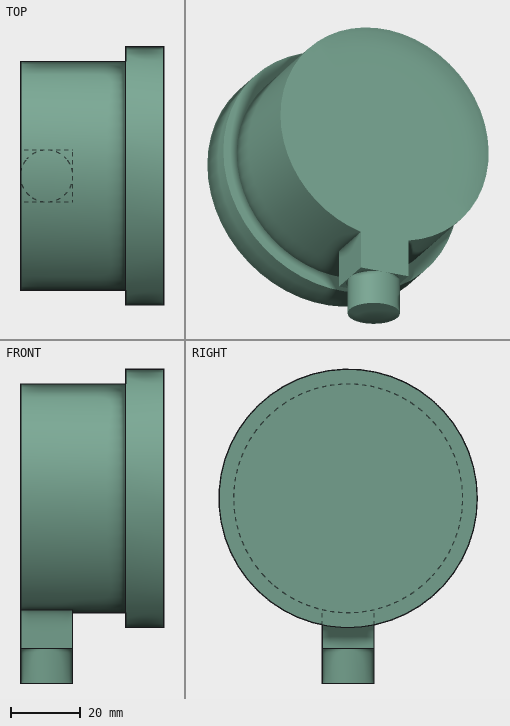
import cadquery as cq

total_height = 90.0
total_depth = 41.0
bezel_diameter = 74.0
bezel_depth = 11.0
case_diameter = 65.5
stem_width = 14.9
pin_length = 10.0

case_depth = total_depth - bezel_depth
stem_bottom = bezel_diameter / 2 - total_height
block_bottom = stem_bottom + pin_length
stem_center_x = stem_width / 2


def disc(start_x, depth, diameter):
    """Round body along the case axis."""
    return cq.Workplane("YZ").workplane(offset=start_x).circle(diameter / 2).extrude(depth)


def stem_block():
    """Square block running from the case axis down below the case wall."""
    return (
        cq.Workplane("XY", origin=(stem_center_x, 0, block_bottom))
        .rect(stem_width, stem_width)
        .extrude(-block_bottom)
    )


def stem_pin():
    """Round pin below the square block, as wide as the block."""
    return (
        cq.Workplane("XY", origin=(stem_center_x, 0, stem_bottom))
        .circle(stem_width / 2)
        .extrude(pin_length)
    )


case = disc(0, case_depth, case_diameter)
bezel = disc(case_depth, bezel_depth, bezel_diameter)
result = case.union(bezel).union(stem_block()).union(stem_pin()).clean()